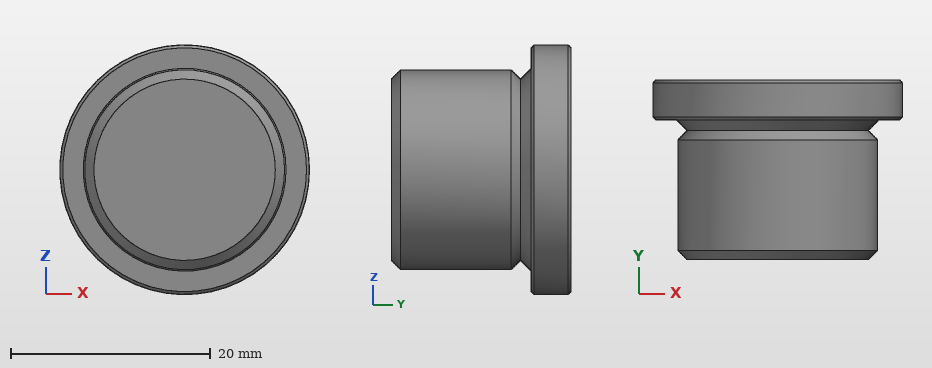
import cadquery as cq

head_radius = 12.5
head_thickness = 4.0
head_chamfer = 0.3

overall_length = 18.0
shank_radius = 10.0
shank_chamfer = 0.92

undercut_depth = 0.92
undercut_head_width = 1.08
undercut_shank_width = 0.92

head_start = overall_length - head_thickness
undercut_bottom = head_start - undercut_head_width
undercut_start = undercut_bottom - undercut_shank_width
undercut_radius = shank_radius - undercut_depth
undercut_head_radius = undercut_radius + undercut_head_width

profile = [
    (0, 0),
    (shank_radius - shank_chamfer, 0),
    (shank_radius, shank_chamfer),
    (shank_radius, undercut_start),
    (undercut_radius, undercut_bottom),
    (undercut_head_radius, head_start),
    (head_radius - head_chamfer, head_start),
    (head_radius, head_start + head_chamfer),
    (head_radius, overall_length - head_chamfer),
    (head_radius - head_chamfer, overall_length),
    (0, overall_length),
]

result = cq.Workplane("XY").polyline(profile).close().revolve(360, (0, 0, 0), (0, 1, 0))